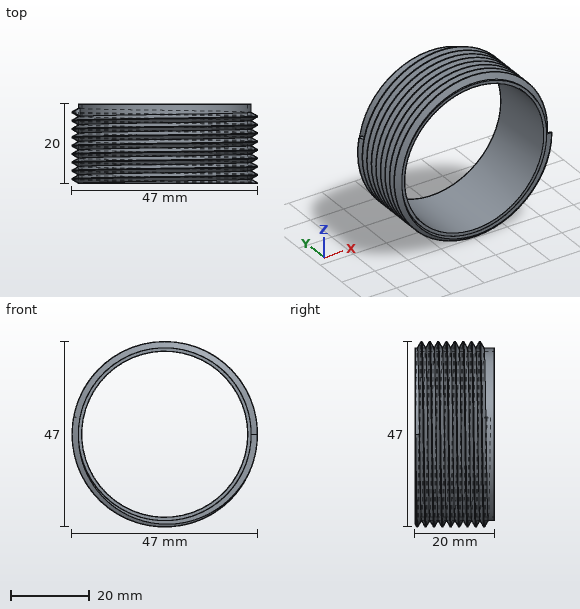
import cadquery as cq
import math

bore_diameter = 42.0
sleeve_diameter = 43.8
sleeve_length = 20.0

thread_diameter = 47.0
thread_pitch = 2.1
thread_turns = 8.53
flank_angle = 30.0
crest_width = 0.25

thread_length = thread_turns * thread_pitch
root_radius = sleeve_diameter / 2
crest_radius = thread_diameter / 2
root_width = crest_width + 2 * (crest_radius - root_radius) * math.tan(math.radians(flank_angle))


def make_sleeve():
    """Tube extruded along +Y from the front face."""
    return (
        cq.Workplane("XZ")
        .circle(sleeve_diameter / 2)
        .circle(bore_diameter / 2)
        .extrude(-sleeve_length)
    )


def helix_edge(radius, axial_offset):
    """One right-hand helical edge of the thread, about Z and starting on +X."""
    helix = cq.Wire.makeHelix(thread_pitch, thread_length, radius, cq.Vector(0, 0, axial_offset))
    return helix.Edges()[0]


def make_full_thread():
    """Trapezoidal ridge about Z, with its profile centred on Z = 0 at the start."""
    profile_edges = [
        helix_edge(root_radius, -root_width / 2),
        helix_edge(crest_radius, -crest_width / 2),
        helix_edge(crest_radius, crest_width / 2),
        helix_edge(root_radius, root_width / 2),
    ]
    following_edges = profile_edges[1:] + profile_edges[:1]
    side_faces = [
        cq.Face.makeRuledSurface(edge, following)
        for edge, following in zip(profile_edges, following_edges)
    ]
    end_faces = []
    for end in (0, 1):
        corners = [edge.positionAt(end) for edge in profile_edges]
        end_faces.append(cq.Face.makeFromWires(cq.Wire.makePolygon(corners, close=True)))
    shell = cq.Shell.makeShell(side_faces + end_faces)
    return cq.Workplane(cq.Solid.makeSolid(shell).fix())


def make_thread():
    """Thread laid along +Y and trimmed flush with the front face of the sleeve."""
    along_y = make_full_thread().rotate((0, 0, 0), (1, 0, 0), -90)
    behind_front_face = cq.Workplane("XZ").circle(thread_diameter).extrude(-sleeve_length)
    return along_y.intersect(behind_front_face)


sleeve = make_sleeve()
thread = make_thread()

result = cq.Compound.makeCompound([sleeve.val(), *thread.solids().vals()])